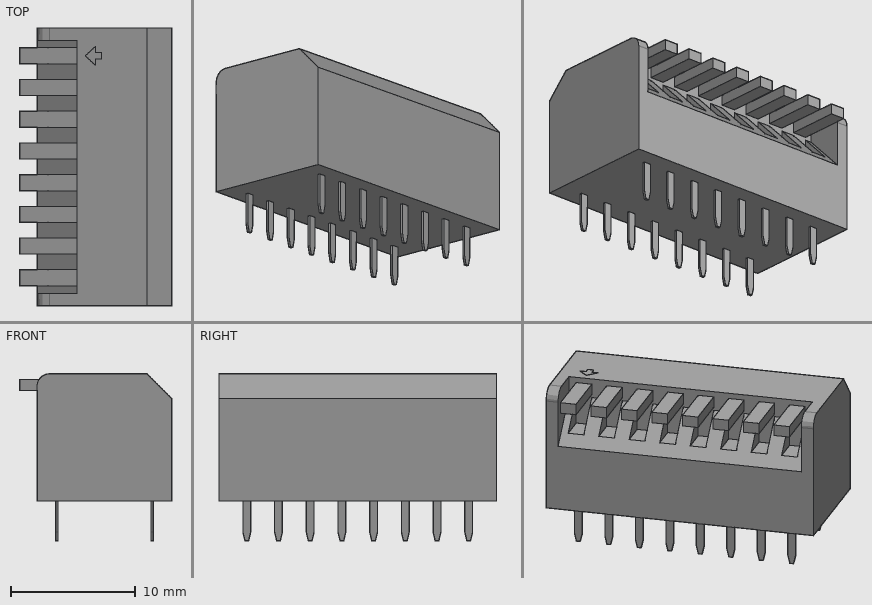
import cadquery as cq


switch_count = 8
pitch = 2.54
switch_positions = [(i - (switch_count - 1) / 2) * pitch for i in range(switch_count)]

body_depth = 10.8
body_width = 22.27
body_height = 10.2
front_x = -body_depth / 2
back_x = body_depth / 2
front_round_radius = 1.0
back_chamfer = 2.0

end_wall = 1.0
recess_width = body_width - 2 * end_wall
recess_depth = 3.2
recess_rear_x = front_x + recess_depth
rear_wall_height = 1.6
slope_top_z = body_height - rear_wall_height
slope_foot_z = slope_top_z - recess_depth

lever_width = 1.3
lever_overhang = 1.4
lever_top_gap = 0.45
lever_top_z = body_height - lever_top_gap
lever_height = 0.9
lever_bottom_z = lever_top_z - lever_height
slot_floor_depth = 3.93
slot_floor_z = body_height - slot_floor_depth

row_spacing = 7.62
pin_row_positions = (-row_spacing / 2, row_spacing / 2)
pin_length = 3.2
pin_width = 0.64
pin_thickness = 0.2
pin_tip_width = 0.3
pin_taper_length = 0.7

arrow_gap = 0.66
arrow_tip_x = recess_rear_x + arrow_gap
arrow_head_length = 0.8
arrow_head_width = 1.5
arrow_tail_length = 0.5
arrow_tail_width = 0.5
arrow_engraving = 0.02


def box_between(x_range, y_center, y_width, z_range):
    """Block spanning the X and Z ranges, centred on y_center."""
    length = x_range[1] - x_range[0]
    height = z_range[1] - z_range[0]
    block = cq.Workplane("XY").box(length, y_width, height, centered=(False, True, False))
    return block.translate((x_range[0], y_center, z_range[0]))


def make_housing():
    """Block with a rounded top front edge and a chamfered top back edge."""
    body = box_between((front_x, back_x), 0, body_width, (0, body_height))
    body = body.edges(">Z and <X").fillet(front_round_radius)
    return body.edges(">Z and >X").chamfer(back_chamfer)


def make_recess():
    """Volume removed between the end walls to expose the levers."""
    profile = [
        (front_x, slope_foot_z),
        (recess_rear_x, slope_top_z),
        (recess_rear_x, body_height),
        (front_x, body_height),
    ]
    return cq.Workplane("XZ").polyline(profile).close().extrude(recess_width / 2, both=True)


def make_slot(y):
    """Level-floored slot below one lever, reaching back to the recess wall."""
    return box_between((front_x, recess_rear_x), y, lever_width, (slot_floor_z, lever_bottom_z))


def make_lever(y):
    """Straight lever from the recess wall out past the front face."""
    return box_between(
        (front_x - lever_overhang, recess_rear_x), y, lever_width, (lever_bottom_z, lever_top_z)
    )


def make_pin(x, y):
    """Flat pin below the housing, tapering to a narrow tip."""
    shoulder_z = pin_taper_length - pin_length
    outline = [
        (y - pin_width / 2, 0),
        (y - pin_width / 2, shoulder_z),
        (y - pin_tip_width / 2, -pin_length),
        (y + pin_tip_width / 2, -pin_length),
        (y + pin_width / 2, shoulder_z),
        (y + pin_width / 2, 0),
    ]
    pin = cq.Workplane("YZ").polyline(outline).close().extrude(pin_thickness / 2, both=True)
    return pin.translate((x, 0, 0))


def make_arrow():
    """Shallow arrow-shaped volume cut into the top face."""
    y = switch_positions[-1]
    head_x = arrow_tip_x + arrow_head_length
    tail_x = head_x + arrow_tail_length
    outline = [
        (arrow_tip_x, y),
        (head_x, y + arrow_head_width / 2),
        (head_x, y + arrow_tail_width / 2),
        (tail_x, y + arrow_tail_width / 2),
        (tail_x, y - arrow_tail_width / 2),
        (head_x, y - arrow_tail_width / 2),
        (head_x, y - arrow_head_width / 2),
    ]
    top_face = cq.Workplane("XY").workplane(offset=body_height)
    return top_face.polyline(outline).close().extrude(-arrow_engraving)


result = make_housing().cut(make_recess()).cut(make_arrow())
for switch_y in switch_positions:
    result = result.cut(make_slot(switch_y)).union(make_lever(switch_y))
    for pin_x in pin_row_positions:
        result = result.union(make_pin(pin_x, switch_y))